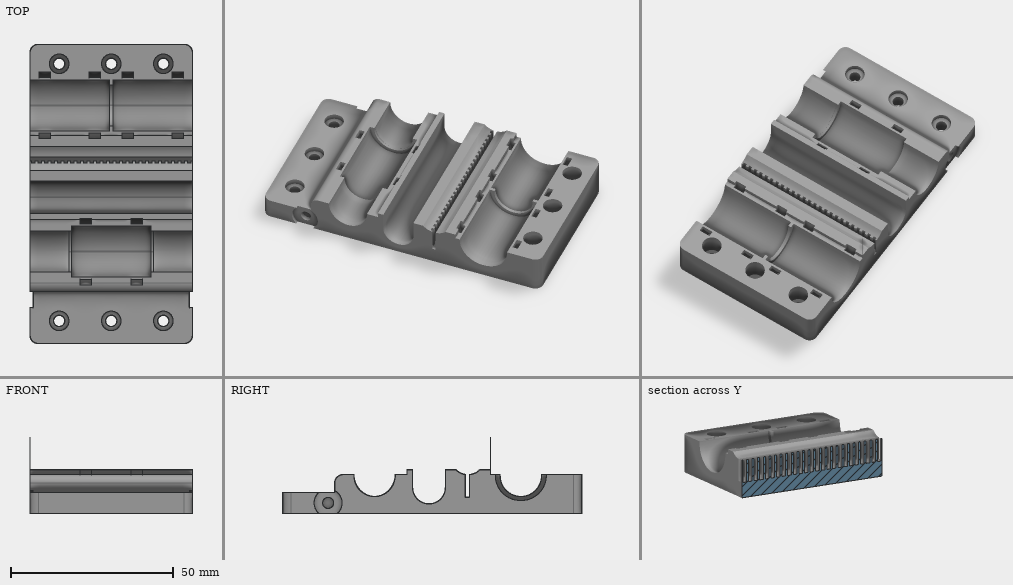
import cadquery as cq
import math

WIDTH = 50.0
LENGTH = 92.0
FRONT_Y = -LENGTH / 2
BACK_Y = LENGTH / 2
DECK_Z = 12.0
RIDGE_Z = 13.5
FLANGE_Z = 6.5
CORNER_RADIUS = 2.6
STEP_Y = -30.0
RIDGE_FRONT_Y = -7.8
RIDGE_BACK_Y = 17.9

REAR_CRADLE_Y = 27.22
FRONT_CRADLE_Y = -17.72
BORE_WIDTH = 15.7
BORE_DEPTH = 8.0
NECK_WIDTH = 12.65
NECK_DEPTH = 6.75
BORE_FLAT = 0.3
NECK_FLAT = 0.1
REAR_RIB_THICKNESS = 1.0
FRONT_POCKET_LENGTH = 24.3
FRONT_RIB_THICKNESS = 0.85

GROOVE_Y = -1.0
GROOVE_RADIUS = 5.0
GROOVE_FLOOR_Z = 3.0
GROOVE_FLAT = 0.1

TROUGH_Y = 10.96
TROUGH_RADIUS = 5.2
TROUGH_HALF_WIDTH = 3.7
SLIT_BACK_Y = 11.4
SLIT_WIDTH = 1.2
SLIT_FLOOR_Z = 5.0
TOOTH_PITCH = 2.0
TOOTH_GAP = 1.1
TOOTH_DEPTH = 0.65

TIE_INNER_RADIUS = 8.5
TIE_OUTER_RADIUS = 10.25
TIE_WIDTH = 3.6
REAR_TIE_X = (-20.4, -5.1, 5.1, 20.4)
FRONT_TIE_X = (-7.8, 7.8)

SCREW_DIAMETER = 3.4
SCREW_HEAD_DIAMETER = 6.0
SCREW_X = (-16.0, 0.0, 16.0)
REAR_SCREW_Y = 40.0
FRONT_SCREW_Y = -39.0
SEAT_Z = 4.8

HINGE_Y = -32.0
HINGE_Z = FLANGE_Z / 2
HINGE_RELIEF_RADIUS = 4.3
HINGE_RELIEF_DEPTH = 1.0
PIN_DIAMETER = 3.4
PIN_HOLE_DEPTH = 2.5

WHISKER_TOP_Z = 23.38
WHISKER_SIZE = 0.05

CLEARANCE_Z = RIDGE_Z + 2.0


def along_x(sketch, x_start, length):
    """Extrude a YZ outline along +X from x_start."""
    return sketch.extrude(length).translate((x_start, 0, 0))


def yz():
    return cq.Workplane("YZ")


def x_cylinder(y, z, radius, x_start, length):
    return along_x(yz().center(y, z).circle(radius), x_start, length)


def block():
    outline = (
        yz()
        .moveTo(FRONT_Y, 0)
        .lineTo(FRONT_Y, FLANGE_Z)
        .lineTo(STEP_Y, FLANGE_Z)
        .lineTo(STEP_Y, DECK_Z - CORNER_RADIUS)
        .radiusArc((STEP_Y + CORNER_RADIUS, DECK_Z), CORNER_RADIUS)
        .lineTo(RIDGE_FRONT_Y, DECK_Z)
        .lineTo(RIDGE_FRONT_Y, RIDGE_Z)
        .lineTo(RIDGE_BACK_Y, RIDGE_Z)
        .lineTo(RIDGE_BACK_Y, DECK_Z)
        .lineTo(BACK_Y, DECK_Z)
        .lineTo(BACK_Y, 0)
        .close()
    )
    body = along_x(outline, -WIDTH / 2, WIDTH)
    plan = (
        cq.Workplane("XY")
        .rect(WIDTH, LENGTH)
        .extrude(CLEARANCE_Z)
        .edges("|Z")
        .fillet(CORNER_RADIUS)
    )
    return body.intersect(plan)


def u_cutter(y, width, floor_z, flat, x_start, length):
    """U-shaped trough with quarter-round sides and a narrow flat floor."""
    half = width / 2
    radius = half - flat / 2
    shoulder_z = floor_z + radius
    outline = (
        yz()
        .moveTo(y - half, CLEARANCE_Z)
        .lineTo(y - half, shoulder_z)
        .radiusArc((y - flat / 2, floor_z), -radius)
        .lineTo(y + flat / 2, floor_z)
        .radiusArc((y + half, shoulder_z), -radius)
        .lineTo(y + half, CLEARANCE_Z)
        .close()
    )
    return along_x(outline, x_start, length)


def bore_cutter(y, x_start, length):
    return u_cutter(y, BORE_WIDTH, DECK_Z - BORE_DEPTH, BORE_FLAT, x_start, length)


def neck_cutter(y, x_start, length):
    return u_cutter(y, NECK_WIDTH, DECK_Z - NECK_DEPTH, NECK_FLAT, x_start, length)


def cut_rear_cradle(part):
    part = part.cut(neck_cutter(REAR_CRADLE_Y, -REAR_RIB_THICKNESS / 2, REAR_RIB_THICKNESS))
    bore_length = (WIDTH - REAR_RIB_THICKNESS) / 2
    for x_start in (-WIDTH / 2, REAR_RIB_THICKNESS / 2):
        part = part.cut(bore_cutter(REAR_CRADLE_Y, x_start, bore_length))
    return part


def cut_front_cradle(part):
    """Pocket in the middle, a thin rib at each end of it, then elliptical end troughs."""
    part = part.cut(bore_cutter(FRONT_CRADLE_Y, -FRONT_POCKET_LENGTH / 2, FRONT_POCKET_LENGTH))
    neck_length = FRONT_POCKET_LENGTH + 2 * FRONT_RIB_THICKNESS
    part = part.cut(neck_cutter(FRONT_CRADLE_Y, -neck_length / 2, neck_length))
    trough = yz().center(FRONT_CRADLE_Y, DECK_Z).ellipse(NECK_WIDTH / 2, NECK_DEPTH)
    return part.cut(along_x(trough, -WIDTH / 2, WIDTH))


def cut_centre_groove(part):
    return part.cut(u_cutter(GROOVE_Y, 2 * GROOVE_RADIUS, GROOVE_FLOOR_Z, GROOVE_FLAT, -WIDTH / 2, WIDTH))


def cut_belt_trough(part):
    axis_z = RIDGE_Z + math.sqrt(TROUGH_RADIUS**2 - TROUGH_HALF_WIDTH**2)
    part = part.cut(x_cylinder(TROUGH_Y, axis_z, TROUGH_RADIUS, -WIDTH / 2, WIDTH))
    slit_height = CLEARANCE_Z - SLIT_FLOOR_Z
    slit_front_y = SLIT_BACK_Y - SLIT_WIDTH
    slit = cq.Workplane("XY").box(WIDTH, SLIT_WIDTH, slit_height, centered=(True, False, False))
    part = part.cut(slit.translate((0, slit_front_y, SLIT_FLOOR_Z)))
    gap_count = round(WIDTH / TOOTH_PITCH)
    gap = cq.Workplane("XY").box(TOOTH_GAP, TOOTH_DEPTH, slit_height, centered=(True, False, False))
    for index in range(gap_count):
        x = -WIDTH / 2 + (index + 0.5) * TOOTH_PITCH
        part = part.cut(gap.translate((x, slit_front_y - TOOTH_DEPTH, SLIT_FLOOR_Z)))
    return part


def cut_tie_channels(part):
    for cradle_y, positions in ((REAR_CRADLE_Y, REAR_TIE_X), (FRONT_CRADLE_Y, FRONT_TIE_X)):
        for x in positions:
            x_start = x - TIE_WIDTH / 2
            outer = x_cylinder(cradle_y, DECK_Z, TIE_OUTER_RADIUS, x_start, TIE_WIDTH)
            inner = x_cylinder(cradle_y, DECK_Z, TIE_INNER_RADIUS, x_start, TIE_WIDTH)
            part = part.cut(outer.cut(inner))
    return part


def cut_screw_holes(part):
    for y in (REAR_SCREW_Y, FRONT_SCREW_Y):
        points = [(x, y) for x in SCREW_X]
        shanks = cq.Workplane("XY").pushPoints(points).circle(SCREW_DIAMETER / 2).extrude(CLEARANCE_Z)
        heads = (
            cq.Workplane("XY", origin=(0, 0, SEAT_Z))
            .pushPoints(points)
            .circle(SCREW_HEAD_DIAMETER / 2)
            .extrude(CLEARANCE_Z - SEAT_Z)
        )
        part = part.cut(shanks).cut(heads)
    return part


def cut_hinge(part):
    for depth, radius in (
        (HINGE_RELIEF_DEPTH, HINGE_RELIEF_RADIUS),
        (PIN_HOLE_DEPTH, PIN_DIAMETER / 2),
    ):
        for x_start in (-WIDTH / 2, WIDTH / 2 - depth):
            part = part.cut(x_cylinder(HINGE_Y, HINGE_Z, radius, x_start, depth))
    return part


def add_whisker(part):
    height = WHISKER_TOP_Z - DECK_Z
    whisker = cq.Workplane("XY").box(WHISKER_SIZE, WHISKER_SIZE, height, centered=False)
    return part.union(whisker.translate((-WIDTH / 2, RIDGE_BACK_Y - WHISKER_SIZE, DECK_Z)))


result = block()
result = cut_rear_cradle(result)
result = cut_front_cradle(result)
result = cut_centre_groove(result)
result = cut_belt_trough(result)
result = cut_tie_channels(result)
result = cut_screw_holes(result)
result = cut_hinge(result)
result = add_whisker(result)